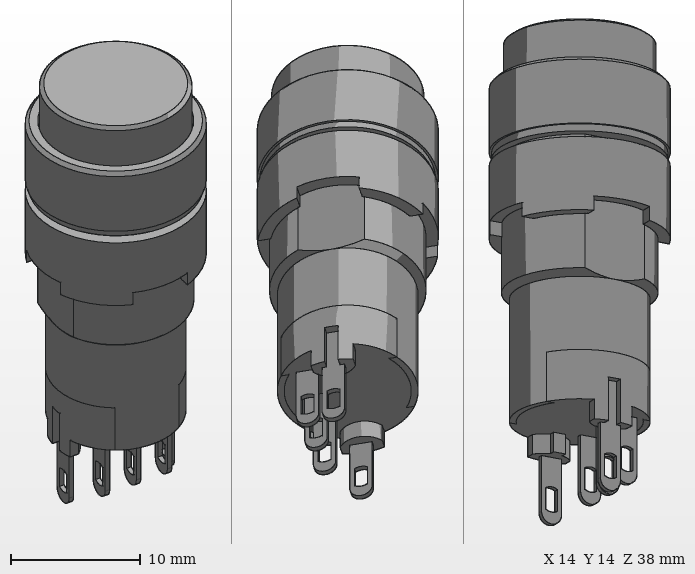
import cadquery as cq


HEAD_RADIUS = 7.0
HEAD_STEP_RADIUS = 6.8
THREAD_RADIUS = 6.05
BARREL_RADIUS = 5.45
CAP_RADIUS = 5.9
PLUG_RADIUS = 4.9

CAP_TOP = 38.0
HEAD_TOP = 34.5
HEAD_STEP = 29.0
HEAD_BOTTOM = 28.42
NUT_TOP = 27.9
NUT_BOTTOM = 21.93
THREAD_TAPER_TOP = 17.5
THREAD_BOTTOM = 17.02
BASE_TOP = 11.05
BARREL_BOTTOM = 7.03
BOSS_BOTTOM = 5.45

CAP_CHAMFER_HEIGHT = 0.23
CAP_CHAMFER_WIDTH = 0.35
HEAD_CHAMFER = 0.3

FLAT_DISTANCE = BARREL_RADIUS
CAP_BORE_RADIUS = 6.0
CAP_BORE_FLOOR = HEAD_STEP

NOTCH_WIDTH = 4.95
NOTCH_HEIGHT = 1.15

TERMINAL_WIDTH = 1.8
TERMINAL_THICKNESS = 0.4
EYE_WIDTH = 1.03
EYE_HEIGHT = 2.05
EYE_END_RISE = 0.15
EYE_ABOVE_TIP = 1.0
LONG_TERMINAL_Y = 4.55
SHORT_TERMINAL_X = 2.47
SHORT_TERMINAL_Y = 2.8
SHORT_TERMINAL_TIP = 1.52

WING_INNER_Y = 2.9
BOSS_WIDTH = 3.35
BOSS_SHOULDER_Y = 4.4
BOSS_INNER_Y = 3.57
SLOT_WIDTH = 1.05
SLOT_TOP = 8.95
SLOT_FLOOR_Y = LONG_TERMINAL_Y + TERMINAL_THICKNESS / 2
RIB_WIDTH = 1.05
RIB_INNER_Y = 3.1


def disc(radius, bottom, top):
    """Solid cylinder on the Z axis between two heights."""
    return cq.Workplane("XY").workplane(offset=bottom).circle(radius).extrude(top - bottom)


def block(x_range, y_range, z_range):
    """Box given by its limits along each axis."""
    (x0, x1), (y0, y1), (z0, z1) = x_range, y_range, z_range
    return cq.Workplane("XY").box(x1 - x0, y1 - y0, z1 - z0, centered=False).translate((x0, y0, z0))


def base_envelope():
    """Plug inside the barrel, with a wing on each Y side that is flush with the barrel."""
    plug = disc(PLUG_RADIUS, BARREL_BOTTOM, BASE_TOP)
    middle = block(
        (-BARREL_RADIUS, BARREL_RADIUS), (-WING_INNER_Y, WING_INNER_Y), (BARREL_BOTTOM, BASE_TOP)
    )
    wings = disc(BARREL_RADIUS, BARREL_BOTTOM, BASE_TOP).cut(middle)
    return plug.union(wings)


def make_cap():
    """Button cap with a chamfered top edge, standing on the floor of the head bore."""
    outline = [
        (0, CAP_BORE_FLOOR),
        (CAP_RADIUS, CAP_BORE_FLOOR),
        (CAP_RADIUS, CAP_TOP - CAP_CHAMFER_HEIGHT),
        (CAP_RADIUS - CAP_CHAMFER_WIDTH, CAP_TOP),
        (0, CAP_TOP),
    ]
    return cq.Workplane("XZ").polyline(outline).close().revolve(360, (0, 0, 0), (0, 1, 0))


def make_housing():
    """Head and barrel in one piece, with two flats on the threaded length."""
    head = disc(HEAD_RADIUS, HEAD_STEP, HEAD_TOP).faces(">Z").chamfer(HEAD_CHAMFER)
    head = head.union(disc(HEAD_STEP_RADIUS, HEAD_BOTTOM, HEAD_STEP))
    head = head.cut(disc(CAP_BORE_RADIUS, CAP_BORE_FLOOR, HEAD_TOP))

    shank_outline = [
        (0, BARREL_BOTTOM),
        (BARREL_RADIUS, BARREL_BOTTOM),
        (BARREL_RADIUS, THREAD_BOTTOM),
        (THREAD_RADIUS, THREAD_TAPER_TOP),
        (THREAD_RADIUS, HEAD_BOTTOM),
        (0, HEAD_BOTTOM),
    ]
    shank = cq.Workplane("XZ").polyline(shank_outline).close().revolve(360, (0, 0, 0), (0, 1, 0))
    for y_range in ((FLAT_DISTANCE, THREAD_RADIUS), (-THREAD_RADIUS, -FLAT_DISTANCE)):
        shank = shank.cut(block((-THREAD_RADIUS, THREAD_RADIUS), y_range, (THREAD_BOTTOM, HEAD_BOTTOM)))

    return head.union(shank).cut(base_envelope())


def make_nut():
    """Ring around the thread with four notches in its lower edge."""
    nut = disc(HEAD_RADIUS, NUT_BOTTOM, NUT_TOP).cut(disc(THREAD_RADIUS, NUT_BOTTOM, NUT_TOP))
    notch = block(
        (-HEAD_RADIUS, HEAD_RADIUS),
        (-NOTCH_WIDTH / 2, NOTCH_WIDTH / 2),
        (NUT_BOTTOM, NUT_BOTTOM + NOTCH_HEIGHT),
    )
    for angle in (0, 90):
        nut = nut.cut(notch.rotate((0, 0, 0), (0, 0, 1), angle))
    return nut


def make_terminal(x, y, tip, root):
    """Solder tag across X with a round tip and an eye, joining the base at the root height."""
    half_width = TERMINAL_WIDTH / 2
    half_eye = EYE_WIDTH / 2
    eye_bottom = tip + EYE_ABOVE_TIP
    eye_top = eye_bottom + EYE_HEIGHT
    plane = cq.Workplane("XZ")
    tag = (
        plane.moveTo(-half_width, root)
        .lineTo(-half_width, tip + half_width)
        .threePointArc((0, tip), (half_width, tip + half_width))
        .lineTo(half_width, root)
        .close()
        .extrude(TERMINAL_THICKNESS / 2, both=True)
    )
    eye = (
        plane.moveTo(-half_eye, eye_bottom + EYE_END_RISE)
        .threePointArc((0, eye_bottom), (half_eye, eye_bottom + EYE_END_RISE))
        .lineTo(half_eye, eye_top - EYE_END_RISE)
        .threePointArc((0, eye_top), (-half_eye, eye_top - EYE_END_RISE))
        .close()
        .extrude(TERMINAL_THICKNESS, both=True)
    )
    return tag.cut(eye).translate((x, y, 0))


def make_boss():
    """Boss under a wing, on the -Y side: barrel-round outside, bulging inside."""
    half_width = BOSS_WIDTH / 2
    column = (
        cq.Workplane("XY")
        .workplane(offset=BOSS_BOTTOM)
        .moveTo(-half_width, -BARREL_RADIUS)
        .lineTo(half_width, -BARREL_RADIUS)
        .lineTo(half_width, -BOSS_SHOULDER_Y)
        .threePointArc((0, -BOSS_INNER_Y), (-half_width, -BOSS_SHOULDER_Y))
        .close()
        .extrude(BARREL_BOTTOM - BOSS_BOTTOM)
    )
    return column.intersect(disc(BARREL_RADIUS, BOSS_BOTTOM, BARREL_BOTTOM))


def make_base():
    """Terminal base with two slotted bosses, a rib on the +Y boss and five terminals."""
    base = base_envelope()
    boss = make_boss()
    slot = block(
        (-SLOT_WIDTH / 2, SLOT_WIDTH / 2), (-BARREL_RADIUS, -SLOT_FLOOR_Y), (BOSS_BOTTOM, SLOT_TOP)
    )
    for angle in (0, 180):
        base = base.union(boss.rotate((0, 0, 0), (0, 0, 1), angle))
        base = base.cut(slot.rotate((0, 0, 0), (0, 0, 1), angle))

    rib = block(
        (-RIB_WIDTH / 2, RIB_WIDTH / 2), (RIB_INNER_Y, BOSS_SHOULDER_Y), (BOSS_BOTTOM, BARREL_BOTTOM)
    )
    base = base.union(rib)

    for y in (-LONG_TERMINAL_Y, LONG_TERMINAL_Y):
        base = base.union(make_terminal(0, y, 0, BOSS_BOTTOM))
    for y in (-SHORT_TERMINAL_Y, 0, SHORT_TERMINAL_Y):
        base = base.union(make_terminal(SHORT_TERMINAL_X, y, SHORT_TERMINAL_TIP, BARREL_BOTTOM))
    return base


cap = make_cap().solids()
housing = make_housing().solids()
nut = make_nut().solids()
base = make_base().solids()

result = cq.Compound.makeCompound([cap.val(), housing.val(), nut.val(), base.val()])